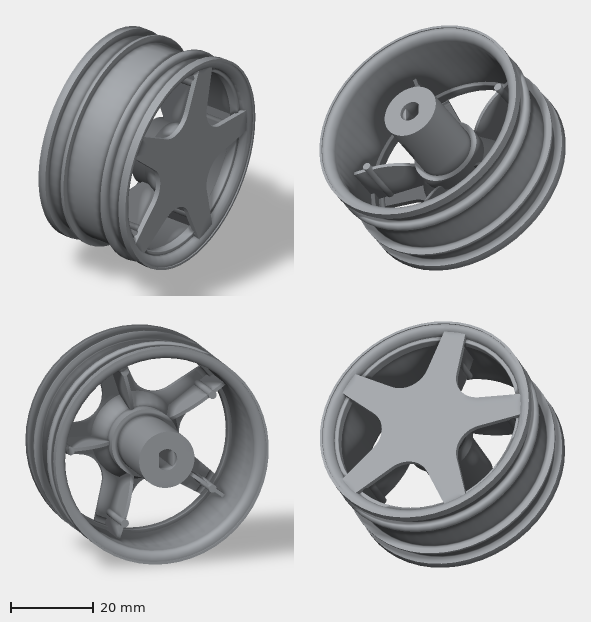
import cadquery as cq
import math


rim_front = 4.0
rim_back = 30.0
rim_middle = (rim_front + rim_back) / 2
flange_radius = 27.0
flange_width = 2.05
wall_radius = 25.0
bore_radius = 24.0
corner_fillet = 0.2

ridge_outer_side = 6.85
ridge_inner_side = 5.5
ridge_round = 0.95

mouth_step_radius = 26.4
mouth_step_depth = 0.3
mouth_round = 2.0

lip_front = 25.25
lip_radius = 23.0
lip_round = 0.2
lip_back = rim_back - mouth_step_depth - mouth_round

spoke_count = 5
spoke_angle = 360 / spoke_count
plate_front = 27.9
plate_thickness = 1.25
plate_back = plate_front + plate_thickness
spoke_tip_half_width = 3.0
spoke_taper = 0.104
valley_fillet = 6.5
spoke_tip_distance = 24.75
groove_inner_radius = 21.55
groove_depth = 0.5

hub_radius = 7.0
boss_front = 18.5
boss_radius = 8.5
boss_root_radius = 10.95
boss_cone_length = 5.4

fin_thickness = 0.85
fin_front = 16.45
fin_foot = 20.8
fin_belly_radius = 14.6
fin_belly = 17.3
pin_radius = 0.95
pin_front = 15.1
pin_distance = 19.85

hole_radius = 2.65
hole_flat_half_width = 1.7
hole_round_depth = 1.0
hole_depth = 20.0


def tube(x_start, x_end, outer, inner):
    """Ring about the X axis."""
    return cq.Workplane("YZ", origin=(x_start, 0, 0)).circle(outer).circle(inner).extrude(x_end - x_start)


def rod(x_start, length, radius):
    """Solid cylinder about the X axis."""
    return cq.Workplane("YZ", origin=(x_start, 0, 0)).circle(radius).extrude(length)


def circles_of_radius(body, radius):
    """The body with its circular edges of one radius selected."""
    tolerance = 0.005
    edges = [edge for edge in body.edges("%CIRCLE").vals() if abs(edge.radius() - radius) < tolerance]
    return body.newObject(edges)


def revolve_about_axis(profile):
    return profile.revolve(360, (0, 0, 0), (1, 0, 0))


def make_flange(side):
    """End flange; side is -1 at the front and +1 at the back."""
    outer_end = rim_middle + side * (rim_back - rim_middle)
    inner_end = outer_end - side * flange_width
    return tube(min(outer_end, inner_end), max(outer_end, inner_end), flange_radius, bore_radius)


def make_ridge(side):
    """Raised ridge with its outer edge rounded."""
    outer_end = rim_middle + side * ridge_outer_side
    inner_end = rim_middle + side * ridge_inner_side
    profile = (
        cq.Workplane("XY")
        .moveTo(inner_end, bore_radius)
        .lineTo(inner_end, flange_radius)
        .lineTo(outer_end - side * ridge_round, flange_radius)
        .radiusArc((outer_end, flange_radius - ridge_round), side * ridge_round)
        .lineTo(outer_end, bore_radius)
        .close()
    )
    return revolve_about_axis(profile)


def make_rim():
    rim = tube(rim_front, rim_back, wall_radius, bore_radius)
    for side in (-1, 1):
        rim = rim.union(make_flange(side)).union(make_ridge(side))
    rim = circles_of_radius(rim, wall_radius).fillet(corner_fillet)
    front_mouth = make_mouth()
    back_mouth = front_mouth.mirror("YZ", (rim_middle, 0, 0))
    return rim.cut(front_mouth).cut(back_mouth)


def make_mouth():
    """Cutter for the step and the rounded entry of the bore."""
    step_end = rim_front + mouth_step_depth
    round_end = step_end + mouth_round
    profile = (
        cq.Workplane("XY")
        .moveTo(rim_front, 0)
        .lineTo(rim_front, mouth_step_radius)
        .lineTo(step_end, mouth_step_radius)
        .lineTo(step_end, bore_radius + mouth_round)
        .radiusArc((round_end, bore_radius), -mouth_round)
        .lineTo(round_end, 0)
        .close()
    )
    return revolve_about_axis(profile)


def make_lip():
    """Ring inside the back of the bore with its two inner edges rounded."""
    lip = tube(lip_front, lip_back, wall_radius, lip_radius)
    return circles_of_radius(lip, lip_radius).fillet(lip_round)


def make_groove():
    """Cutter for the shallow groove that crosses each spoke beside the lip."""
    groove_middle = (groove_inner_radius + lip_radius) / 2
    profile = (
        cq.Workplane("XY")
        .moveTo(plate_front, groove_inner_radius)
        .threePointArc((plate_front + groove_depth, groove_middle), (plate_front, lip_radius))
        .close()
    )
    return revolve_about_axis(profile)


def make_spokes():
    """Five-armed plate inside the back of the rim."""
    half_step = math.radians(spoke_angle / 2)
    axis_half_width = spoke_tip_half_width + spoke_taper * lip_radius
    valley = axis_half_width / (math.sin(half_step) + spoke_taper * math.cos(half_step))
    tip_half_width = axis_half_width - spoke_taper * spoke_tip_distance
    points = []
    for i in range(spoke_count):
        along = math.radians(i * spoke_angle)
        for side in (-1, 1):
            points.append((
                spoke_tip_distance * math.cos(along) - side * tip_half_width * math.sin(along),
                spoke_tip_distance * math.sin(along) + side * tip_half_width * math.cos(along),
            ))
        points.append((valley * math.cos(along + half_step), valley * math.sin(along + half_step)))
    star = cq.Workplane("YZ", origin=(plate_front, 0, 0)).polyline(points).close()
    star = star.extrude(plate_thickness)
    valley_edges = [
        edge for edge in star.edges("|X").vals()
        if math.hypot(edge.Center().y, edge.Center().z) < valley + 0.55
    ]
    return star.newObject(valley_edges).fillet(valley_fillet).cut(make_groove())


def make_hub():
    """Hub, and a thicker boss that widens into the spoke plate."""
    profile = (
        cq.Workplane("XY")
        .moveTo(0, 0)
        .lineTo(0, hub_radius)
        .lineTo(boss_front, hub_radius)
        .lineTo(boss_front, boss_radius)
        .lineTo(plate_front - boss_cone_length, boss_radius)
        .lineTo(plate_front, boss_root_radius)
        .lineTo(plate_back, boss_root_radius)
        .lineTo(plate_back, 0)
        .close()
    )
    return revolve_about_axis(profile)


def make_fin():
    """Fin and pin along the +Y spoke."""
    fin = (
        cq.Workplane("XY", origin=(0, 0, -fin_thickness / 2))
        .moveTo(fin_front, bore_radius)
        .lineTo(fin_front, pin_distance)
        .threePointArc((fin_belly, fin_belly_radius), (fin_foot, boss_radius))
        .lineTo(plate_front, boss_radius)
        .lineTo(plate_front, bore_radius)
        .close()
        .extrude(fin_thickness)
    )
    pin = (
        cq.Workplane("YZ", origin=(pin_front, pin_distance, 0))
        .circle(pin_radius)
        .extrude(plate_front - pin_front)
    )
    return fin.union(pin)


def make_hole():
    """Blind shaft hole: round at the mouth, with two flats deeper in."""
    mouth = rod(0, hole_round_depth, hole_radius)
    flats = cq.Workplane("XY").box(
        hole_depth, 2 * hole_flat_half_width, 2 * hole_radius, centered=(False, True, True)
    )
    return rod(0, hole_depth, hole_radius).intersect(flats).union(mouth)


result = make_rim().union(make_lip()).union(make_spokes()).union(make_hub())
for i in range(spoke_count):
    result = result.union(make_fin().rotate((0, 0, 0), (1, 0, 0), i * spoke_angle))
result = result.cut(make_hole())